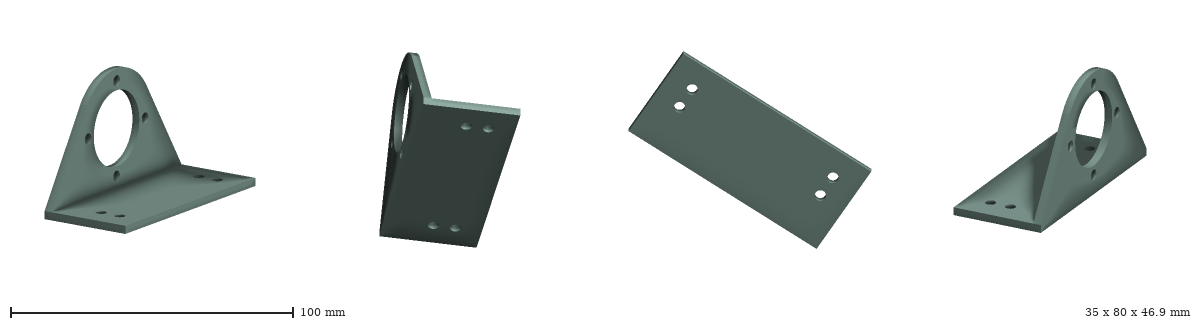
import cadquery as cq
import math

base_depth = 35.0
bracket_width = 80.0
sheet_thickness = 3.0

bore_diameter = 28.0
bore_height = 25.0
rim_end_y = 18.0
rim_end_z = 37.5
screw_diameter = 4.0
screw_circle_diameter = 35.0
screw_count = 4

base_hole_diameter = 4.0
base_hole_spacing_y = 60.0
base_hole_positions_x = (17.5, 25.5)


def make_base():
    base = cq.Workplane("XY").box(
        base_depth, bracket_width, sheet_thickness, centered=(False, True, False)
    )
    centres = [
        (x, side * base_hole_spacing_y / 2)
        for x in base_hole_positions_x
        for side in (-1, 1)
    ]
    holes = cq.Workplane("XY").pushPoints(centres).circle(base_hole_diameter / 2).extrude(sheet_thickness)
    return base.cut(holes)


def make_upright():
    """Plate whose straight sides rise from the base corners to a round rim concentric with the bore."""
    half_width = bracket_width / 2
    rim_radius = math.hypot(rim_end_y, rim_end_z - bore_height)

    plate = (
        cq.Workplane("YZ")
        .moveTo(-half_width, sheet_thickness)
        .lineTo(half_width, sheet_thickness)
        .lineTo(rim_end_y, rim_end_z)
        .threePointArc((0, bore_height + rim_radius), (-rim_end_y, rim_end_z))
        .close()
        .extrude(sheet_thickness)
    )
    face_centre = cq.Workplane("YZ").center(0, bore_height)
    bore = face_centre.circle(bore_diameter / 2).extrude(sheet_thickness)
    screws = (
        face_centre.polarArray(screw_circle_diameter / 2, 0, 360, screw_count)
        .circle(screw_diameter / 2)
        .extrude(sheet_thickness)
    )
    return plate.cut(bore).cut(screws)


result = make_base().union(make_upright(), clean=False)